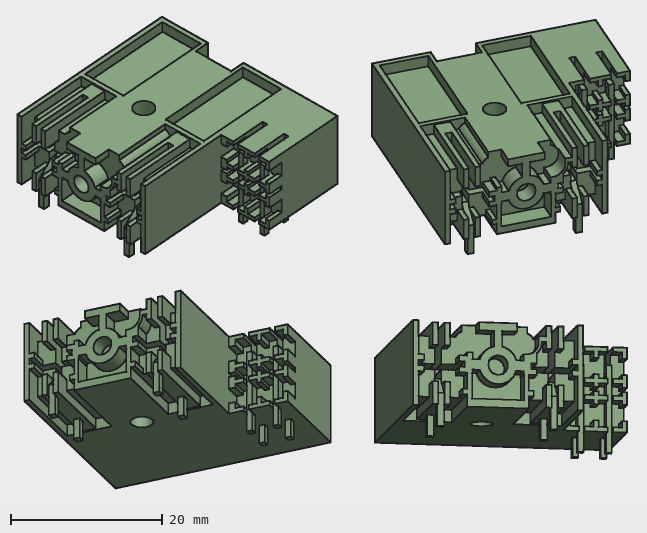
import cadquery as cq
import math


overall_width = 31.45
body_width = 22.86
body_length = 28.3
body_height = 11.4
half_body = body_width / 2
mid_z = body_height / 2
wing_right = overall_width - half_body
wing_front = 14.93
pin_length = 2.6

wall = 0.76
recess_depth = 2.6
half_recess = half_body - wall
wall_rib_reach = 0.72
pocket_depth = 1.63
front_pocket_end = 11.65
top_pocket_inner = 4.4
pocket_floor_z = body_height - pocket_depth

rear_pocket_inner = 3.78
rear_pocket_outer = 10.62
rear_pocket_front = 12.4
rear_pocket_end = 27.5

housing_half = 4.13
boss_radius = 2.55
boss_hole_radius = 1.3
housing_top = 6.41
window_half = 3.49
window_bottom = 1.09
window_top = 5.0
arm_half = 5.22
ledge_inner = 3.43
ledge_z = 7.28
foot_rib_reach = 0.65
foot_rib_height = 0.76
stem_half = 0.54
cap_half = 2.56
cap_bottom = 10.3
screw_hole_radius = 1.55
screw_hole_y = 12.24

channel_x = 3.77
channel_radius = 1.7
channel_z = ledge_z + channel_radius
cradle_outer_radius = 2.1
cradle_tab_thickness = 0.75

notch_half = 3.17
notch_depth = 2.4
rear_boss_radius = 2.33

contact_x = 7.62
blade_thickness = 0.9
blade_front = 0.54
blade_end = 9.15
blade_slope_end = 2.85
blade_web_front = 6.65
blade_slope_bottom = 1.85
blade_step_z = 4.13
main_pin_width = 1.0
guide_half = 1.17
guide_gap = 0.22
guide_height = 3.04
plate_thickness = 0.76
plate_half = 2.17
plate_slot_inner = 4.46
plate_slot_outer = 10.71
plate_bottom = mid_z - plate_thickness / 2
plate_top = mid_z + plate_thickness / 2
rib_band_bottom = 4.56
rib_band_top = 6.85

wing_contacts = (13.97, 17.78)
wing_blade_thickness = 0.78
wing_blade_front = 16.0
wing_blade_end = 20.7
wing_blade_top = 9.13
wing_pin_width = 0.88
cell_width = 3.15
cell_depth = 2.43
outer_gap_z = 8.8
outer_cell_z = 8.97
outer_gap_height = 2.17
outer_cell_height = 3.59
middle_gap_height = 0.55
middle_cell_height = 1.63


def block(x0, x1, y0, y1, z0, z1):
    """Box between two opposite corners."""
    return cq.Workplane("XY").box(x1 - x0, y1 - y0, z1 - z0, centered=False).translate((x0, y0, z0))


def rod(x, z, radius, y0, y1):
    """Cylinder lying along Y."""
    return cq.Workplane("XZ", origin=(x, y0, z)).circle(radius).extrude(y0 - y1)


def both_sides(shape):
    """The shape together with its mirror image across X = 0."""
    return shape.union(shape.mirror("YZ"))


def circle_point(radius, angle):
    """Point (x, z) at an angle, in radians, on a circle about the right channel's axis."""
    return (channel_x + radius * math.cos(angle), channel_z + radius * math.sin(angle))


def make_body():
    body = block(-half_body, half_body, 0, body_length, 0, body_height)
    wing = block(half_body, wing_right, wing_front, body_length, 0, body_height)
    recess = block(-half_recess, half_recess, 0, recess_depth, 0, body_height)
    return body.union(wing).cut(recess)


def make_pockets():
    """Pockets above and below the contacts, and the rear pockets in the top."""
    upper = block(top_pocket_inner, half_recess, recess_depth, front_pocket_end, pocket_floor_z, body_height)
    upper = upper.cut(rod(channel_x, channel_z, channel_radius, recess_depth, front_pocket_end))
    lower = block(housing_half, half_recess, recess_depth, front_pocket_end, 0, pocket_depth)
    rear = block(rear_pocket_inner, rear_pocket_outer, rear_pocket_front, rear_pocket_end,
                 pocket_floor_z, body_height)
    return both_sides(upper.union(lower).union(rear))


def make_rear_notch():
    start = body_length - notch_depth
    notch = block(-notch_half, notch_half, start, body_length, mid_z, body_height)
    return notch.cut(rod(0, mid_z, rear_boss_radius, start, body_length))


def make_housing():
    """Open frame, screw boss, stem and cap in the middle of the front recess."""
    frame = block(-housing_half, housing_half, 0, recess_depth, 0, housing_top)
    frame = frame.cut(block(-window_half, window_half, 0, recess_depth, window_bottom, window_top))
    boss = rod(0, mid_z, boss_radius, 0, recess_depth)
    stem = block(-stem_half, stem_half, 0, recess_depth, mid_z, cap_bottom)
    cap = block(-cap_half, cap_half, 0, recess_depth, cap_bottom, body_height)
    foot_rib = block(housing_half, housing_half + foot_rib_reach, 0, recess_depth,
                     pocket_depth, pocket_depth + foot_rib_height)
    arm = block(ledge_inner, arm_half, 0, recess_depth, rib_band_bottom, rib_band_top)
    return frame.union(boss).union(stem).union(cap).union(both_sides(foot_rib.union(arm)))


def make_left_ledge():
    """Raised lip beside the left channel; its outer part follows the channel."""
    edge_rise = channel_radius - math.sqrt(channel_radius**2 - (housing_half - channel_x)**2)
    half_step = (housing_half - channel_x) / 2
    half_rise = channel_radius - math.sqrt(channel_radius**2 - half_step**2)
    ledge = (
        cq.Workplane("XZ")
        .moveTo(-ledge_inner, housing_top)
        .lineTo(-ledge_inner, ledge_z)
        .lineTo(-channel_x, ledge_z)
        .threePointArc((-channel_x - half_step, ledge_z + half_rise), (-housing_half, ledge_z + edge_rise))
        .lineTo(-housing_half, housing_top)
        .close()
    )
    return ledge.extrude(-recess_depth)


def make_right_cradle():
    """Curved wall under the right channel, tied to the right contact guide."""
    tab_bottom = pocket_floor_z - cradle_tab_thickness
    guide_face = contact_x - guide_half
    outer_end = math.asin((tab_bottom - channel_z) / cradle_outer_radius)
    outer_start = -math.acos((arm_half - channel_x) / cradle_outer_radius)
    cradle = (
        cq.Workplane("XZ")
        .moveTo(ledge_inner, housing_top)
        .lineTo(arm_half, housing_top)
        .lineTo(*circle_point(cradle_outer_radius, outer_start))
        .threePointArc(
            circle_point(cradle_outer_radius, (outer_start + outer_end) / 2),
            circle_point(cradle_outer_radius, outer_end),
        )
        .lineTo(guide_face, tab_bottom)
        .lineTo(guide_face, pocket_floor_z)
        .lineTo(channel_x + channel_radius, pocket_floor_z)
        .lineTo(*circle_point(channel_radius, 0))
        .threePointArc(circle_point(channel_radius, -math.pi / 4), (channel_x, ledge_z))
        .lineTo(ledge_inner, ledge_z)
        .close()
    )
    return cradle.extrude(-recess_depth)


def make_guides():
    """Upper and lower contact guides and the ribs on the side walls."""
    x0 = contact_x - guide_half
    x1 = contact_x + guide_half
    lower = block(x0, x1, 0, front_pocket_end, guide_gap, guide_gap + guide_height)
    upper_top = body_height - guide_gap
    upper = block(x0, x1, 0, front_pocket_end, upper_top - guide_height, upper_top)
    wall_rib = block(half_recess - wall_rib_reach, half_recess, 0, recess_depth,
                     rib_band_bottom, rib_band_top)
    return both_sides(lower.union(upper).union(wall_rib))


def make_main_slots():
    """Upright blade slots and level plate slots for the main contacts."""
    half = blade_thickness / 2
    upright = block(contact_x - half, contact_x + half, 0, blade_end, 0, body_height)
    level = block(plate_slot_inner, plate_slot_outer, 0, blade_end, plate_bottom, plate_top)
    return both_sides(upright.union(level))


def make_main_contacts():
    """Upright blade with two pins, crossed by a level plate."""
    half = blade_thickness / 2
    outline = [
        (blade_front, -pin_length),
        (blade_front, blade_slope_bottom),
        (blade_slope_end, blade_step_z),
        (blade_web_front, blade_step_z),
        (blade_web_front, plate_bottom),
        (blade_end, plate_bottom),
        (blade_end, -pin_length),
        (blade_end - main_pin_width, -pin_length),
        (blade_end - main_pin_width, guide_gap),
        (blade_front + main_pin_width, guide_gap),
        (blade_front + main_pin_width, -pin_length),
    ]
    blade = (
        cq.Workplane("YZ", origin=(contact_x - half, 0, 0))
        .polyline(outline)
        .close()
        .extrude(blade_thickness)
    )
    plate = block(contact_x - plate_half, contact_x + plate_half, blade_web_front, blade_end,
                  plate_bottom, plate_top)
    return both_sides(blade.union(plate))


def make_wing_cells():
    """Three rows of cells in the wing front, each row joined by a gap across the wing."""
    rows = (
        (body_height - outer_gap_z, outer_gap_height, body_height - outer_cell_z, outer_cell_height),
        (mid_z, middle_gap_height, mid_z, middle_cell_height),
        (outer_gap_z, outer_gap_height, outer_cell_z, outer_cell_height),
    )
    cells = cq.Workplane("XY")
    back = wing_front + cell_depth
    for gap_z, gap_height, cell_z, cell_height in rows:
        gap = block(half_body, wing_right, wing_front, back,
                    gap_z - gap_height / 2, gap_z + gap_height / 2)
        cells = cells.add(gap)
        for x in wing_contacts:
            cell = block(x - cell_width / 2, x + cell_width / 2, wing_front, back,
                         cell_z - cell_height / 2, cell_z + cell_height / 2)
            cells = cells.add(cell)
    return cells.combine()


def make_wing_slot(x):
    half = wing_blade_thickness / 2
    return block(x - half, x + half, wing_front, wing_blade_end, 0, body_height)


def make_wing_contact(x):
    """Upright blade with a window under its top bar and a pin under each end."""
    half = wing_blade_thickness / 2
    contact = block(x - half, x + half, wing_blade_front, wing_blade_end, 0, wing_blade_top)
    window = block(x - half, x + half, wing_blade_front + wing_pin_width, wing_blade_end - wing_pin_width,
                   outer_cell_z - outer_cell_height / 2, wing_blade_top - wing_pin_width)
    contact = contact.cut(window)
    for y in (wing_blade_front, wing_blade_end - wing_pin_width):
        contact = contact.union(block(x - half, x + half, y, y + wing_pin_width, -pin_length, 0))
    return contact


result = make_body().cut(make_pockets()).cut(make_rear_notch())
result = result.union(make_housing()).union(make_left_ledge())
result = result.union(make_guides()).union(make_right_cradle())
result = result.cut(rod(0, mid_z, boss_hole_radius, 0, recess_depth))
result = result.cut(
    cq.Workplane("XY").center(0, screw_hole_y).circle(screw_hole_radius).extrude(body_height)
)
result = result.cut(make_main_slots()).union(make_main_contacts())
result = result.cut(make_wing_cells())
for contact_position in wing_contacts:
    result = result.cut(make_wing_slot(contact_position))
    result = result.union(make_wing_contact(contact_position))